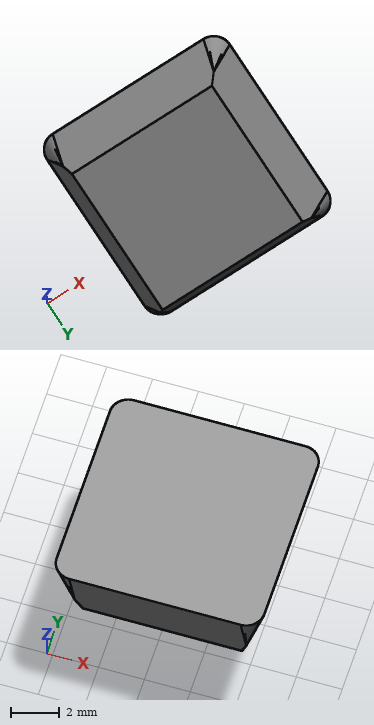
import cadquery as cq
import math

top_side = 9.07
total_height = 3.97
corner_radius = 0.8
relief_angle = 15.0

relief_slope = math.tan(math.radians(relief_angle))
cone_height = corner_radius / relief_slope
base_height = total_height - cone_height
sharp_side = top_side - 2 * corner_radius
bottom_side = sharp_side - 2 * base_height * relief_slope


def tapered_bar(plane):
    """Trapezoid on the given plane, widening upward, as long as the sharp square."""
    return (
        cq.Workplane(plane)
        .polyline([
            (-sharp_side / 2, base_height),
            (sharp_side / 2, base_height),
            (top_side / 2, total_height),
            (-top_side / 2, total_height),
        ])
        .close()
        .extrude(sharp_side / 2, both=True)
    )


def corner_cone(x, y):
    """Cone standing on its tip at a corner of the sharp square."""
    tip = cq.Vector(x, y, base_height)
    return cq.Workplane(obj=cq.Solid.makeCone(0, corner_radius, cone_height, tip))


upper_body = tapered_bar("XZ").union(tapered_bar("YZ"))
for x_sign in (-1, 1):
    for y_sign in (-1, 1):
        upper_body = upper_body.union(corner_cone(x_sign * sharp_side / 2, y_sign * sharp_side / 2))
upper_body = upper_body.clean()

lower_body = (
    cq.Workplane("XY")
    .rect(bottom_side, bottom_side)
    .workplane(offset=base_height)
    .rect(sharp_side, sharp_side)
    .loft(ruled=True)
)

result = upper_body.union(lower_body, clean=False)